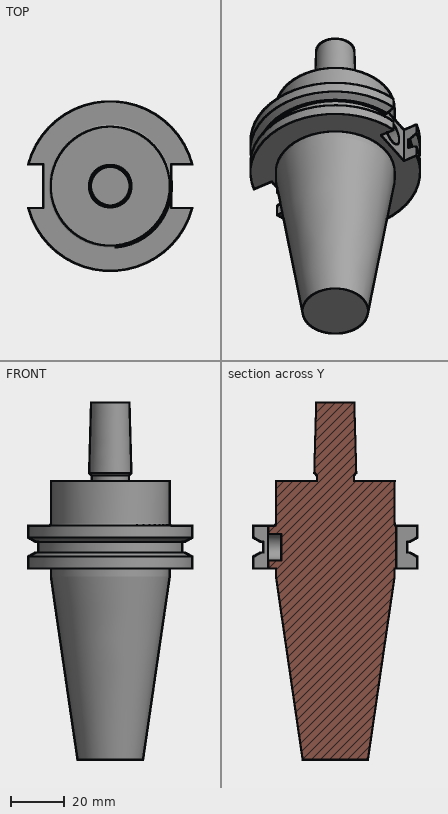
import cadquery as cq
import math

total_height = 133.5
gauge_height = 68.4
flange_bottom = 71.5
flange_height = 16.0
boss_height = 16.7
neck_height = 2.0
stub_chamfer_height = 1.1

gauge_diameter = 44.5
shank_taper = 7 / 24
flange_diameter = 63.4
groove_diameter = 56.3
boss_diameter = gauge_diameter
neck_diameter = 14.0
stub_base_diameter = 15.9
stub_tip_diameter = 14.4

groove_mouth_width = 7.1
groove_floor_width = 3.9
groove_wall_angle = 30

boss_fillet = 0.8

slot_width = 16.3
slot_floor_left = 25.1
slot_floor_right = 22.8

hole_diameter = 9.6
hole_depth = 5.0

flange_top = flange_bottom + flange_height
flange_middle = flange_bottom + flange_height / 2
boss_top = flange_top + boss_height
neck_top = boss_top + neck_height
stub_bottom = neck_top + stub_chamfer_height


def turned_body():
    """Revolve the half profile of shank, grooved flange, boss and stub about Z."""
    shank_tip_radius = (gauge_diameter - gauge_height * shank_taper) / 2
    flange_radius = flange_diameter / 2
    groove_radius = groove_diameter / 2
    boss_radius = boss_diameter / 2
    mouth_half = groove_mouth_width / 2
    floor_half = groove_floor_width / 2
    wall_depth = (mouth_half - floor_half) / math.tan(math.radians(groove_wall_angle))
    ledge_radius = flange_radius - wall_depth

    profile = (
        cq.Workplane("XZ")
        .lineTo(shank_tip_radius, 0)
        .lineTo(gauge_diameter / 2, gauge_height)
        .lineTo(gauge_diameter / 2, flange_bottom)
        .lineTo(flange_radius, flange_bottom)
        .lineTo(flange_radius, flange_middle - mouth_half)
        .lineTo(ledge_radius, flange_middle - floor_half)
        .lineTo(groove_radius, flange_middle - floor_half)
        .lineTo(groove_radius, flange_middle + floor_half)
        .lineTo(ledge_radius, flange_middle + floor_half)
        .lineTo(flange_radius, flange_middle + mouth_half)
        .lineTo(flange_radius, flange_top)
        .lineTo(boss_radius + boss_fillet, flange_top)
        .radiusArc((boss_radius, flange_top + boss_fillet), boss_fillet)
        .lineTo(boss_radius, boss_top)
        .lineTo(neck_diameter / 2, boss_top)
        .lineTo(neck_diameter / 2, neck_top)
        .lineTo(stub_base_diameter / 2, stub_bottom)
        .lineTo(stub_tip_diameter / 2, total_height)
        .lineTo(0, total_height)
        .close()
    )
    return profile.revolve(360, (0, 0), (0, 1))


def drive_slot(side, floor_distance):
    """Block outside the slot floor; side is -1 for -X and +1 for +X."""
    block_length = flange_diameter / 2
    return cq.Workplane("XY").box(block_length, slot_width, flange_height).translate(
        (side * (floor_distance + block_length / 2), 0, flange_middle)
    )


def slot_hole():
    """Flat-bottomed hole running along +X from the floor of the left slot."""
    return (
        cq.Workplane("YZ", origin=(-slot_floor_left, 0, flange_middle))
        .circle(hole_diameter / 2)
        .extrude(hole_depth)
    )


result = (
    turned_body()
    .cut(drive_slot(-1, slot_floor_left))
    .cut(drive_slot(1, slot_floor_right))
    .cut(slot_hole())
)